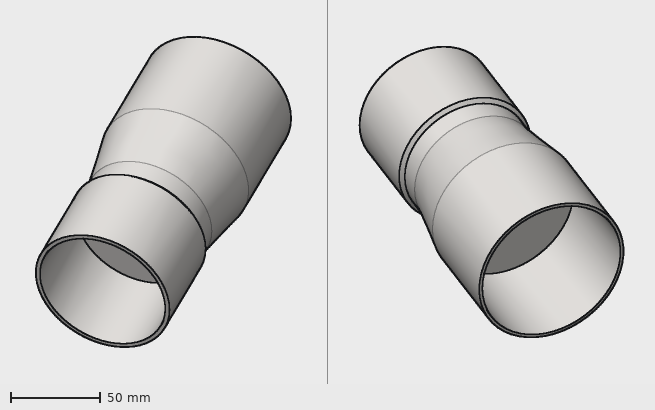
import cadquery as cq

total_length = 171.8
socket_end = 54.0
neck_start = 56.0
neck_end = 69.0
taper_end = 107.9

socket_diameter = 81.1
neck_diameter = 76.0
body_diameter = 89.0
narrow_bore_diameter = 76.0
wide_bore_diameter = 85.0

narrow_bore_depth = socket_end
wide_bore_depth = total_length - taper_end

socket_radius = socket_diameter / 2
neck_radius = neck_diameter / 2
body_radius = body_diameter / 2


def outer_body():
    """Revolve the stepped and tapered outside about the Y axis."""
    profile = (
        cq.Workplane("XY")
        .moveTo(0, 0)
        .lineTo(socket_radius, 0)
        .lineTo(socket_radius, socket_end)
        .lineTo(neck_radius, neck_start)
        .lineTo(neck_radius, neck_end)
        .lineTo(body_radius, taper_end)
        .lineTo(body_radius, total_length)
        .lineTo(0, total_length)
        .close()
    )
    return profile.revolve(360, (0, 0, 0), (0, 1, 0))


def bore(diameter, start, depth):
    """Cylinder along +Y that opens a socket."""
    plane = cq.Workplane("XZ", origin=(0, start, 0))
    return plane.circle(diameter / 2).extrude(-depth)


narrow_bore = bore(narrow_bore_diameter, 0, narrow_bore_depth)
wide_bore = bore(wide_bore_diameter, taper_end, wide_bore_depth)

body = outer_body().cut(narrow_bore).cut(wide_bore)
result = body.translate((0, -total_length / 2, 0))